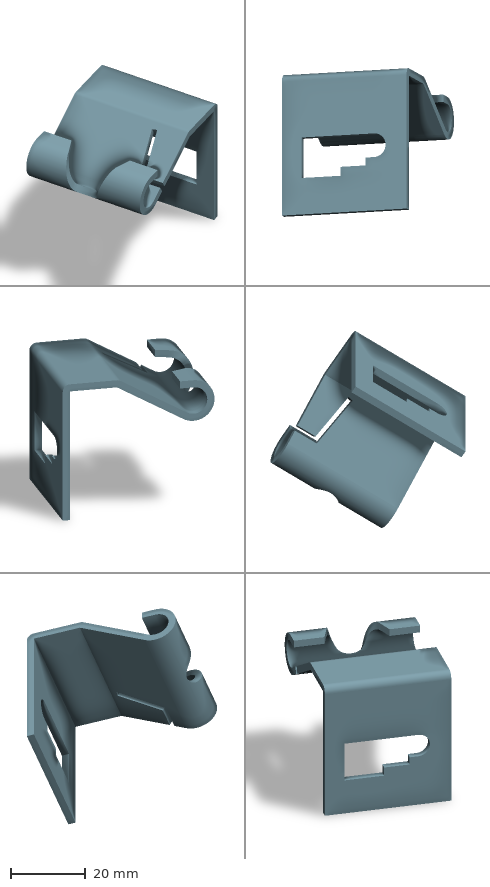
import cadquery as cq
import math

width = 35.0
depth = 42.0
height = 38.5
thickness = 2.0

slope_angle = math.radians(30)
slope_sin = math.sin(slope_angle)
slope_cos = math.cos(slope_angle)
hook_outer_radius = 5.75
hook_inner_radius = hook_outer_radius - thickness
hook_drop = 1.9
lip_length = 3.8
hook_y = hook_outer_radius - depth
hook_z = -hook_drop - hook_outer_radius

bend_z = -thickness
bend_y = hook_y + (hook_outer_radius + (bend_z - hook_z) * slope_cos) / slope_sin
slope_top_y = bend_y - thickness * slope_sin
slope_top_z = bend_z + thickness * slope_cos

window_left = 5.92
window_right = 29.55
window_top = -17.55
window_end_height = 6.43
first_step_x = 11.5
first_step_z = -26.15
second_step_x = 18.55
window_bottom = -28.55

slit_width = 1.5
slit_corner_x = 28.0
slit_corner_distance = 17.22
slit_leg_length = 15.25
slit_leg_angle = math.radians(11.5)

notch_half_width = 9.0
notch_depth = 15.95
notch_side_angle = math.radians(21)
notch_tip_half_angle = math.radians(1)
straight_sections = 6
round_sections = 10
cut_margin = 0.4


def hook_point(radius, angle):
    """Point (y, z) on the hook; the angle runs from its top toward the front."""
    return hook_y - radius * math.sin(angle), hook_z + radius * math.cos(angle)


def bent_sheet():
    hook_end = math.pi + slope_angle
    bend_middle = slope_angle / 2
    corner_offset = thickness * math.sqrt(0.5)
    lip_y = hook_y + lip_length
    profile = (
        cq.Workplane("YZ")
        .moveTo(0, -height)
        .lineTo(0, -thickness)
        .threePointArc((corner_offset - thickness, corner_offset - thickness), (-thickness, 0))
        .lineTo(bend_y, 0)
        .threePointArc(
            (bend_y - thickness * math.sin(bend_middle), bend_z + thickness * math.cos(bend_middle)),
            (slope_top_y, slope_top_z),
        )
        .lineTo(*hook_point(hook_inner_radius, hook_end))
        .threePointArc(
            hook_point(hook_inner_radius, hook_end / 2),
            hook_point(hook_inner_radius, 0),
        )
        .lineTo(lip_y, -hook_drop - thickness)
        .lineTo(lip_y, -hook_drop)
        .lineTo(hook_y, -hook_drop)
        .threePointArc(
            hook_point(hook_outer_radius, hook_end / 2),
            hook_point(hook_outer_radius, hook_end),
        )
        .lineTo(bend_y, bend_z)
        .lineTo(-thickness, -thickness)
        .lineTo(-thickness, -height)
        .close()
    )
    return profile.extrude(width)


def window_cutter():
    end_radius = window_end_height / 2
    end_x = window_left + end_radius
    return (
        cq.Workplane("XZ", origin=(0, cut_margin, 0))
        .moveTo(end_x, window_top)
        .lineTo(window_right, window_top)
        .lineTo(window_right, window_bottom)
        .lineTo(second_step_x, window_bottom)
        .lineTo(second_step_x, first_step_z)
        .lineTo(first_step_x, first_step_z)
        .lineTo(first_step_x, window_top - window_end_height)
        .lineTo(end_x, window_top - window_end_height)
        .threePointArc((window_left, window_top - end_radius), (end_x, window_top))
        .close()
        .extrude(thickness + 2 * cut_margin)
    )


def slit_cutter():
    slope_plane = cq.Plane(
        origin=(0, slope_top_y, slope_top_z),
        xDir=(1, 0, 0),
        normal=(0, -slope_sin, slope_cos),
    )
    leg_sin = math.sin(slit_leg_angle)
    leg_cos = math.cos(slit_leg_angle)
    front = -slit_corner_distance
    back = front + slit_width
    end_x = slit_corner_x - slit_leg_length * leg_sin
    end_y = front + slit_leg_length * leg_cos
    inner_corner_x = slit_corner_x + (slit_width - slit_width * leg_sin) / leg_cos
    outline = [
        (slit_corner_x, front),
        (width + cut_margin, front),
        (width + cut_margin, back),
        (inner_corner_x, back),
        (end_x + slit_width * leg_cos, end_y + slit_width * leg_sin),
        (end_x, end_y),
    ]
    return (
        cq.Workplane(slope_plane)
        .workplane(offset=cut_margin)
        .polyline(outline)
        .close()
        .extrude(-thickness - 2 * cut_margin)
    )


def notch_section(distance, half_width):
    """Rectangle across the sheet at a developed distance from the lip edge."""
    inner = hook_inner_radius - cut_margin
    outer = hook_outer_radius + cut_margin
    if distance < lip_length:
        y = hook_y + lip_length - distance
        ends = [(y, hook_z + inner), (y, hook_z + outer)]
    else:
        mean_radius = (hook_inner_radius + hook_outer_radius) / 2
        angle = (distance - lip_length) / mean_radius
        ends = [hook_point(inner, angle), hook_point(outer, angle)]
    left = width / 2 - half_width
    right = width / 2 + half_width
    corners = [cq.Vector(left, *ends[0]), cq.Vector(right, *ends[0])]
    corners += [cq.Vector(right, *ends[1]), cq.Vector(left, *ends[1])]
    return cq.Wire.makePolygon(corners, close=True)


def notch_cutters():
    side_slope = math.tan(notch_side_angle)
    bottom_half_width = notch_half_width - notch_depth * side_slope
    round_radius = bottom_half_width * math.cos(notch_side_angle) / (1 - math.sin(notch_side_angle))
    round_center = notch_depth - round_radius
    tangent_distance = round_center + round_radius * math.sin(notch_side_angle)

    def side_section(distance):
        return notch_section(distance, notch_half_width - distance * side_slope)

    lip_cut = cq.Solid.makeLoft([side_section(-cut_margin), side_section(lip_length)], True)
    curved_length = tangent_distance - lip_length
    sections = [
        side_section(lip_length + curved_length * step / straight_sections)
        for step in range(straight_sections + 1)
    ]
    sweep = math.pi / 2 - notch_tip_half_angle - notch_side_angle
    for step in range(1, round_sections + 1):
        angle = notch_side_angle + sweep * step / round_sections
        distance = round_center + round_radius * math.sin(angle)
        sections.append(notch_section(distance, round_radius * math.cos(angle)))
    return [lip_cut, cq.Solid.makeLoft(sections, False)]


result = bent_sheet().cut(window_cutter()).cut(slit_cutter())
for cutter in notch_cutters():
    result = result.cut(cq.Workplane(cutter))